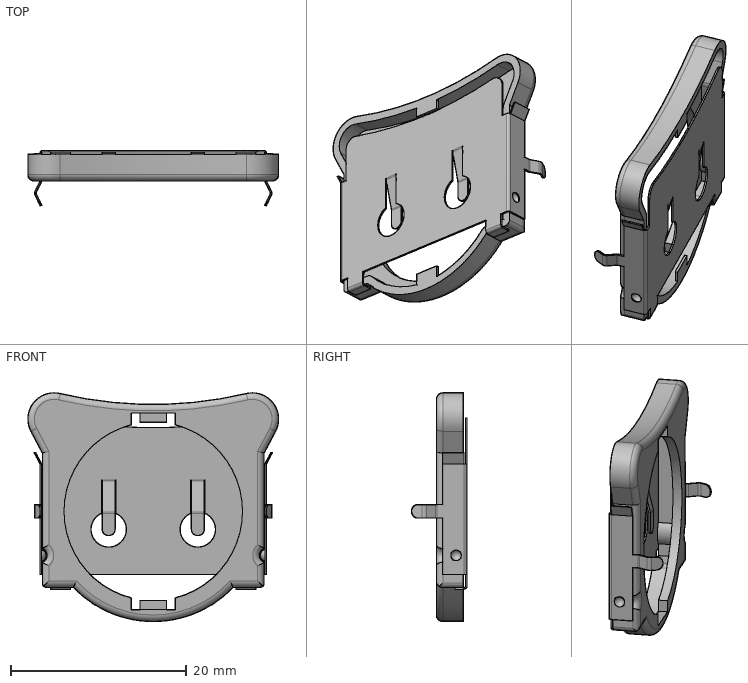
import cadquery as cq
import math


depth = 3.07
ear_reach = 14.3
ear_top_z = 13.52
half_width = 12.65
bottom_radius = 12.57
shoulder_z = -8.68
shoulder_corner_radius = 0.5
waist_z = 6.65
ear_radius = 3.0
ear_x = ear_reach - ear_radius
ear_z = ear_top_z - ear_radius
top_dip_z = 12.2
front_round = 0.75
wall = 0.95
front_thickness = 1.05
window_radius = 10.17
slot_half_width = 2.48
slot_half_height = 11.2
tab_half_width = 1.53
tab_reach = 10.15
tab_thickness = 0.3
notch_radius = 0.82

sheet = 0.2
bend_radius = 0.25
tip_rounding = 0.98
back_gap = 0.24
flange_outer_x = 12.92
flange_x = flange_outer_x - sheet / 2
plate_y = depth + back_gap + sheet / 2
flange_front_y = 0.73
flange_bottom_z = -7.22
flange_top_z = 5.42
plate_top_z = 10.65
lobe_radius = 1.25
plate_half_width = 11.9
lobe_x = plate_half_width - lobe_radius
lobe_z = plate_top_z - lobe_radius
plate_dip_z = 9.54
flap_reach = 0.67
flap_rise = 1.27
leg_inner_x = 9.42
leg_outer_x = 11.7
foot_front_y = 2.1
spring_width = 1.55
spring_root_y = -0.06
spring_peak = (13.48, -1.37)
spring_tip = (12.79, -2.8)
spring_bend_radius = 0.5
dimple_y = 2.25
dimple_z = -5.02
dimple_hollow_radius = 0.6
dimple_bump_radius = 0.72

finger_x = 5.08
finger_width = 1.5
finger_slot_width = 1.62
finger_root_z = 3.57
finger_bend_z = -0.15
finger_end_z = -2.77
finger_push = 0.94
finger_hole_radius = 2.0
finger_bend_radius = 0.6
finger_bend_drop = 0.08
finger_overlap = 0.3
finger_hole_z = -2.06


def front_plane(y):
    return cq.Workplane("XZ", origin=(0, y, 0))


def dip_arc(corner_x, corner_z, corner_radius, dip_z):
    """Radius and +X end point of the concave arc through (0, dip_z) that is tangent to a corner circle."""
    rise = dip_z - corner_z
    radius = (corner_x**2 + rise**2 - corner_radius**2) / (2 * (corner_radius - rise))
    share = corner_radius / (radius + corner_radius)
    return radius, (corner_x * (1 - share), corner_z + share * (dip_z + radius - corner_z))


def housing_outline():
    """Outer outline in XZ, with a round notch on each side for the clip dimples."""
    dip_radius, dip_end = dip_arc(ear_x, ear_z, ear_radius, top_dip_z)

    to_ear_x = ear_x - half_width
    to_ear_z = ear_z - waist_z
    distance = math.hypot(to_ear_x, to_ear_z)
    normal_angle = math.atan2(-to_ear_z, -to_ear_x) + math.acos(ear_radius / distance)
    flare_x = ear_x + ear_radius * math.cos(normal_angle)
    flare_z = ear_z + ear_radius * math.sin(normal_angle)

    ear_middle = math.pi / 4
    ear_mid = (ear_x + ear_radius * math.cos(ear_middle), ear_z + ear_radius * math.sin(ear_middle))
    notch_half = math.sqrt(notch_radius**2 - (flange_outer_x - half_width) ** 2)
    notch_bottom = (flange_outer_x - notch_radius, dimple_z)
    round_x = math.sqrt(bottom_radius**2 - shoulder_z**2)
    round_middle = math.atan2(round_x, -shoulder_z) / 2
    round_mid = (bottom_radius * math.sin(round_middle), -bottom_radius * math.cos(round_middle))

    return (
        front_plane(0)
        .moveTo(0, top_dip_z)
        .radiusArc(dip_end, -dip_radius)
        .threePointArc(ear_mid, (flare_x, flare_z))
        .lineTo(half_width, waist_z)
        .lineTo(half_width, dimple_z + notch_half)
        .threePointArc(notch_bottom, (half_width, dimple_z - notch_half))
        .lineTo(half_width, shoulder_z)
        .lineTo(round_x, shoulder_z)
        .threePointArc(round_mid, (0, -bottom_radius))
        .mirrorY()
    )


def make_housing():
    """Tray with a thin wall, open at the back, with the coin window in its front."""
    body = housing_outline().extrude(-depth)
    body = body.faces("<Y").edges().fillet(front_round)

    rounded = housing_outline().extrude(-depth)
    for side in (-1, 1):
        corner = (side * half_width, depth / 2, shoulder_z)
        rounded = rounded.edges(cq.NearestToPointSelector(corner)).fillet(shoulder_corner_radius)
    body = body.intersect(rounded)

    cavity = housing_outline().offset2D(-wall).extrude(-depth)
    cavity = cavity.translate((0, front_thickness, 0))
    window = front_plane(0).circle(window_radius).extrude(-depth)
    slot = front_plane(0).rect(2 * slot_half_width, 2 * slot_half_height).extrude(-front_thickness)
    body = body.cut(cavity).cut(window).cut(slot)

    for wall_z in (top_dip_z - wall / 2, -bottom_radius + wall / 2):
        edge_z = math.copysign(tab_reach, wall_z)
        tab = (
            front_plane(depth - tab_thickness)
            .center(0, (wall_z + edge_z) / 2)
            .rect(2 * tab_half_width, abs(wall_z - edge_z))
            .extrude(-tab_thickness)
        )
        body = body.union(tab)
    return body


def bent_strip(points, width, width_direction, radius):
    """Sheet metal strip whose middle follows the points, with rounded bends at the inner points."""
    corners = [cq.Vector(*point) for point in points]
    path = cq.Wire.makePolygon(corners)
    bends = [v for v in path.Vertices() if v.Center() not in (corners[0], corners[-1])]
    path = path.fillet(radius, bends)
    start = cq.Plane(origin=points[0], xDir=width_direction, normal=corners[1] - corners[0])
    return cq.Workplane(start).rect(width, sheet).sweep(cq.Workplane(path))


def clip_channel():
    """Back plate with a flange along each side."""
    middle_z = (flange_bottom_z + flange_top_z) / 2
    points = [
        (-flange_x, flange_front_y, middle_z),
        (-flange_x, plate_y, middle_z),
        (flange_x, plate_y, middle_z),
        (flange_x, flange_front_y, middle_z),
    ]
    return bent_strip(points, flange_top_z - flange_bottom_z, (0, 0, 1), bend_radius)


def clip_upper_plate():
    """Upper part of the back plate, with two round lobes and a concave top."""
    dip_radius, dip_end = dip_arc(lobe_x, lobe_z, lobe_radius, plate_dip_z)
    lobe_reach = lobe_radius * math.sqrt(0.5)
    lobe_mid = (lobe_x + lobe_reach, lobe_z + lobe_reach)
    return (
        front_plane(plate_y - sheet / 2)
        .moveTo(0, plate_dip_z)
        .radiusArc(dip_end, -dip_radius)
        .threePointArc(lobe_mid, (plate_half_width, lobe_z))
        .lineTo(plate_half_width, finger_root_z)
        .lineTo(0, finger_root_z)
        .mirrorY()
        .extrude(-sheet)
    )


def clip_leg(side):
    """Leg that runs down from the plate and hooks under the housing."""
    x = side * (leg_inner_x + leg_outer_x) / 2
    foot_z = shoulder_z - sheet / 2
    points = [(x, plate_y, flange_bottom_z), (x, plate_y, foot_z), (x, foot_front_y, foot_z)]
    return bent_strip(points, leg_outer_x - leg_inner_x, (1, 0, 0), bend_radius)


def clip_flap(side):
    """Upper end of a flange, bent outward."""
    outer = side * flange_outer_x
    inner = side * (flange_outer_x - sheet)
    shift = side * flap_reach
    return (
        front_plane(flange_front_y)
        .polyline([
            (outer, flange_top_z),
            (outer + shift, flange_top_z + flap_rise),
            (inner + shift, flange_top_z + flap_rise),
            (inner, flange_top_z),
        ])
        .close()
        .extrude(flange_front_y - (plate_y - bend_radius))
    )


def clip_spring(side):
    """Spring arm that runs forward from the flange, with a bulge outward and a round tip."""
    points = [
        (side * flange_x, flange_front_y, 0),
        (side * flange_x, spring_root_y, 0),
        (side * spring_peak[0], spring_peak[1], 0),
        (side * spring_tip[0], spring_tip[1], 0),
    ]
    arm = bent_strip(points, spring_width, (0, 0, 1), spring_bend_radius)
    return arm.faces("<Y").edges("<Z or >Z").fillet(tip_rounding * spring_width / 2)


def finger_opening(x):
    """Round hole in the plate with a slot above it."""
    slot_height = finger_root_z - finger_hole_z
    start = front_plane(plate_y - sheet).center(x, finger_hole_z)
    hole = start.circle(finger_hole_radius).extrude(-2 * sheet)
    slot = start.center(0, slot_height / 2).rect(finger_slot_width, slot_height).extrude(-2 * sheet)
    return hole.union(slot)


def clip_finger(x):
    """Contact finger, sloping forward from the plate and ending in a flat round tip."""
    front_y = plate_y - finger_push
    points = [
        (x, plate_y, finger_root_z + finger_overlap),
        (x, plate_y, finger_root_z - finger_bend_drop),
        (x, front_y, finger_bend_z),
        (x, front_y, finger_end_z),
    ]
    finger = bent_strip(points, finger_width, (1, 0, 0), finger_bend_radius)
    return finger.faces("<Z").edges("<X or >X").fillet(tip_rounding * finger_width / 2)


def dimple_ball(side, radius):
    """Inner half of a ball centred on the outer face of a flange."""
    center = (side * flange_outer_x, dimple_y, dimple_z)
    plane = cq.Plane(origin=center, xDir=(-side, 0, 0), normal=(0, -1, 0))
    quarter = cq.Workplane(plane).lineTo(radius, 0)
    quarter = quarter.radiusArc((0, radius), -radius).close()
    return quarter.revolve(360, (0, 0), (1, 0))


def make_clip():
    """Channel shaped clip with all its bent arms, its fingers and its hollow dimples."""
    body = clip_channel().union(clip_upper_plate())

    for x in (-finger_x, finger_x):
        body = body.cut(finger_opening(x)).union(clip_finger(x))

    for side in (-1, 1):
        body = body.union(clip_leg(side)).union(clip_flap(side)).union(clip_spring(side))
        body = body.union(dimple_ball(side, dimple_bump_radius))
        body = body.cut(dimple_ball(side, dimple_hollow_radius))
    return body


housing = make_housing()
clip = make_clip()
result = cq.Compound.makeCompound([housing.val(), clip.val()])